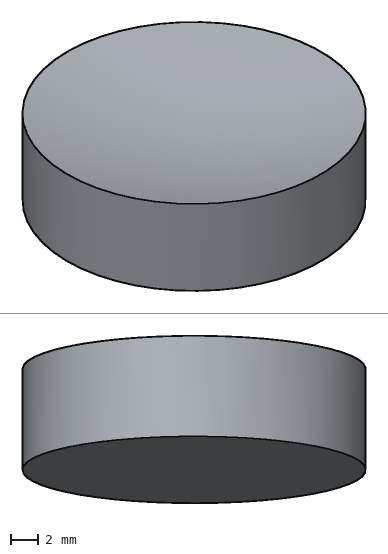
import cadquery as cq

diameter = 25.4
edge_thickness = 7.6
hollow_depth = 1.73

radius = diameter / 2
center_thickness = edge_thickness - hollow_depth

sphere_radius = (radius**2 + hollow_depth**2) / (2 * hollow_depth)

disc = cq.Workplane("XY").circle(radius).extrude(edge_thickness)

sphere = (
    cq.Workplane("XY")
    .sphere(sphere_radius)
    .translate((0, 0, center_thickness + sphere_radius))
)

result = disc.cut(sphere)